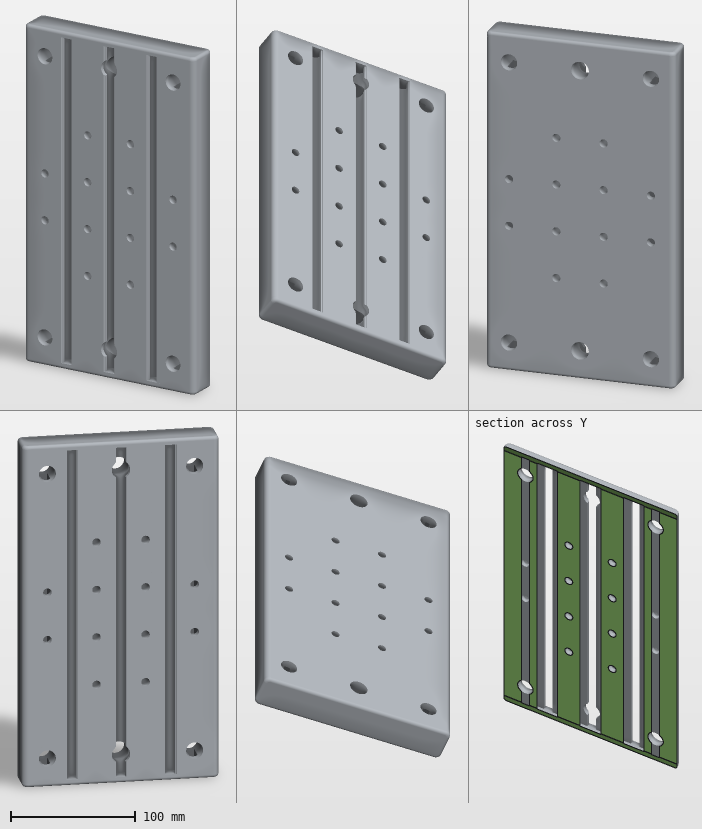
import cadquery as cq
import math

HEIGHT = 288.0
WIDTH = 160.0
DEPTH = 28.0

CORNER_RADIUS = 4.5
CAP_THICKNESS = 5.0
CAP_EDGE_RADIUS = 2.5
PROFILE_LENGTH = HEIGHT - 2 * CAP_THICKNESS

GROOVE_PITCH = 40.0
GROOVE_SLOT_WIDTH = 8.0
GROOVE_LIP_THICKNESS = 3.7
GROOVE_MOUTH_RADIUS = 1.0
GROOVE_CHAMBER_WIDTH = 20.2
GROOVE_FLOOR_WIDTH = 5.0
GROOVE_DEPTH = 11.2
GROOVE_FLOOR_RADIUS = 4.3

CHANNEL_WIDTH = 7.0
CHANNEL_DEPTH = 15.5

SMALL_HOLE_DIAMETER = 7.0
CORNER_HOLE_DIAMETER = 13.8
CENTRE_HOLE_DIAMETER = 15.0
INNER_X = GROOVE_PITCH / 2
OUTER_X = 1.5 * GROOVE_PITCH
INNER_Z = GROOVE_PITCH / 2
OUTER_Z = 1.5 * GROOVE_PITCH
MOUNTING_Z = 3 * GROOVE_PITCH

SMALL_HOLES = [
    (side_x * x, side_z * z)
    for x, z in ((INNER_X, INNER_Z), (INNER_X, OUTER_Z), (OUTER_X, INNER_Z))
    for side_x in (-1, 1)
    for side_z in (-1, 1)
]
CORNER_HOLES = [(x, z) for x in (-OUTER_X, OUTER_X) for z in (-MOUNTING_Z, MOUNTING_Z)]
CENTRE_HOLES = [(0, z) for z in (-MOUNTING_Z, MOUNTING_Z)]


def rounded_bar(length):
    """Bar centred on X and Y, starting at Z = 0, with rounded long edges."""
    bar = cq.Workplane("XY").box(WIDTH, DEPTH, length, centered=(True, True, False))
    return bar.edges("|Z").fillet(CORNER_RADIUS)


def groove_cutter(x):
    """T-groove as long as the profile, with rounded lips and 45 degree chamber flanks."""
    slot = GROOVE_SLOT_WIDTH / 2
    mouth = slot + GROOVE_MOUTH_RADIUS
    chamber = GROOVE_CHAMBER_WIDTH / 2
    floor = GROOVE_FLOOR_WIDTH / 2
    arc_end = floor + GROOVE_FLOOR_RADIUS * math.sin(math.radians(45))
    arc_end_depth = GROOVE_DEPTH - GROOVE_FLOOR_RADIUS * (1 - math.cos(math.radians(45)))
    flank_end_depth = arc_end_depth - (chamber - arc_end)
    cutter = (
        cq.Workplane("XY")
        .moveTo(-mouth, 0)
        .lineTo(mouth, 0)
        .radiusArc((slot, GROOVE_MOUTH_RADIUS), -GROOVE_MOUTH_RADIUS)
        .lineTo(slot, GROOVE_LIP_THICKNESS)
        .lineTo(chamber, GROOVE_LIP_THICKNESS)
        .lineTo(chamber, flank_end_depth)
        .lineTo(arc_end, arc_end_depth)
        .radiusArc((floor, GROOVE_DEPTH), -GROOVE_FLOOR_RADIUS)
        .lineTo(-floor, GROOVE_DEPTH)
        .radiusArc((-arc_end, arc_end_depth), -GROOVE_FLOOR_RADIUS)
        .lineTo(-chamber, flank_end_depth)
        .lineTo(-chamber, GROOVE_LIP_THICKNESS)
        .lineTo(-slot, GROOVE_LIP_THICKNESS)
        .lineTo(-slot, GROOVE_MOUTH_RADIUS)
        .radiusArc((-mouth, 0), -GROOVE_MOUTH_RADIUS)
        .close()
        .extrude(PROFILE_LENGTH / 2, both=True)
    )
    return cutter.translate((x, -DEPTH / 2, 0))


def channel_cutter(x):
    """Rectangular channel through the full profile length, centred in its depth."""
    return cq.Workplane("XY").box(CHANNEL_WIDTH, CHANNEL_DEPTH, PROFILE_LENGTH).translate((x, 0, 0))


def hole_cutters(places, diameter):
    """Cylinders through the whole depth at the given (x, z) places."""
    return cq.Workplane("XZ").pushPoints(places).circle(diameter / 2).extrude(DEPTH / 2, both=True)


def make_profile():
    profile = rounded_bar(PROFILE_LENGTH).translate((0, 0, -PROFILE_LENGTH / 2))
    for x in (-GROOVE_PITCH, 0, GROOVE_PITCH):
        profile = profile.cut(groove_cutter(x))
    for x in (-OUTER_X, OUTER_X):
        profile = profile.cut(channel_cutter(x))
    profile = profile.cut(hole_cutters(SMALL_HOLES, SMALL_HOLE_DIAMETER))
    profile = profile.cut(hole_cutters(CORNER_HOLES, CORNER_HOLE_DIAMETER))
    return profile.cut(hole_cutters(CENTRE_HOLES, CENTRE_HOLE_DIAMETER))


def make_end_cap(side):
    """End cap on the top (side = 1) or bottom (side = -1) of the profile."""
    cap = rounded_bar(CAP_THICKNESS).faces(">Z").edges().fillet(CAP_EDGE_RADIUS)
    cap = cap.translate((0, 0, PROFILE_LENGTH / 2))
    if side < 0:
        cap = cap.mirror("XY")
    return cap


profile = make_profile()
end_caps = [make_end_cap(side) for side in (-1, 1)]

result = cq.Compound.makeCompound([profile.val(), *[cap.val() for cap in end_caps]])